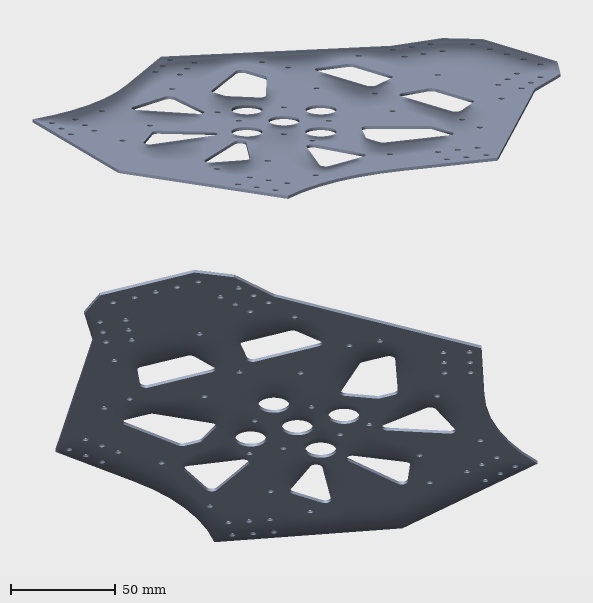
import cadquery as cq
import math

THICKNESS = 1.52
OVERALL_WIDTH = 228.8

NOSE_Y = 160.0
NOSE_HALF_WIDTH = 25.3
SHOULDER = (40.3, 147.2)
NECK = (48.7, 121.3)
SIDE_TIP = (OVERALL_WIDTH / 2, 30.7)
WAIST_START = (94.0, -12.5)
TAIL_CORNER = (86.8, -83.8)
TAIL_Y = -112.0
WAIST_RADIUS = 104.5

WINDOW_CORNER_RADIUS = 3.0
WINDOWS = {
    "front": [(12.8, 87.5), (42.2, 87.5), (50.0, 67.7), (8.0, 67.7)],
    "side": [(56.0, 44.0), (74.5, 44.0), (58.2, 8.2), (47.5, 8.2), (32.0, 19.9)],
    "rear_side": [(31.3, -18.0), (67.7, -9.5), (66.7, -40.8)],
    "rear": [(3.3, -30.0), (33.0, -55.5), (19.9, -77.3)],
}

CABLE_HOLE_DIAMETER = 15.0
CABLE_HOLE_SPACING = 25.0

SCREW_DIAMETER = 3.0
NOSE_SCREW_Y = 151.0
NOSE_SCREW_PITCH = 11.5
NOSE_SCREW_COUNT = 5
CENTRE_SCREW_OFFSET = 15.2
MIDLINE_SCREWS = [(0, 104.2), (0, 61.8)]
PAIRED_SCREWS = [
    (48.5, 99.0),
    (59.0, 61.8),
    (74.0, 59.0),
    (25.8, 48.0),
    (74.0, -2.0),
    (32.0, -12.8),
    (40.0, -51.0),
    (72.6, -51.0),
    (32.0, -77.3),
]

LEG_SCREW_COUNT = 3
LEG_SCREW_PITCH = 10.0
LEG_ROW_GAP = 12.5
LEG_MOUNTS = [
    ((37.3, 136.5), -71.5),
    ((107.5, 30.0), -115.0),
    ((76.0, -81.3), -162.0),
]


def mirrored(point):
    """Return the point reflected in the YZ plane."""
    x, y = point
    return (-x, y)


def on_both_sides(points):
    """Return the points together with their reflections."""
    return points + [mirrored(point) for point in points]


def make_plate():
    """Return the plate blank with its concave waist on both sides."""
    return (
        cq.Workplane("XY")
        .moveTo(-NOSE_HALF_WIDTH, NOSE_Y)
        .lineTo(NOSE_HALF_WIDTH, NOSE_Y)
        .lineTo(*SHOULDER)
        .lineTo(*NECK)
        .lineTo(*SIDE_TIP)
        .lineTo(*WAIST_START)
        .radiusArc(TAIL_CORNER, -WAIST_RADIUS)
        .lineTo(0, TAIL_Y)
        .lineTo(*mirrored(TAIL_CORNER))
        .radiusArc(mirrored(WAIST_START), -WAIST_RADIUS)
        .lineTo(*mirrored(SIDE_TIP))
        .lineTo(*mirrored(NECK))
        .lineTo(*mirrored(SHOULDER))
        .close()
        .extrude(THICKNESS)
    )


def make_window(corners):
    """Return the cutter for one window with rounded corners."""
    prism = cq.Workplane("XY").polyline(corners).close().extrude(THICKNESS)
    return prism.edges("|Z").fillet(WINDOW_CORNER_RADIUS)


def make_holes(centres, diameter):
    """Return the cutter for round through holes at the given centres."""
    return cq.Workplane("XY").pushPoints(centres).circle(diameter / 2).extrude(THICKNESS)


def leg_mount_screws(first_screw, direction):
    """Return the screw centres of one leg mount."""
    x, y = first_screw
    along_x = math.cos(math.radians(direction))
    along_y = math.sin(math.radians(direction))
    centres = []
    for index in range(LEG_SCREW_COUNT):
        along = index * LEG_SCREW_PITCH
        for inward in (0, LEG_ROW_GAP):
            centres.append((
                x + along * along_x + inward * along_y,
                y + along * along_y - inward * along_x,
            ))
    return centres


def cable_hole_centres():
    """Return the centres of the middle cable hole and the four around it."""
    spacing = CABLE_HOLE_SPACING
    return [(0, 0), (spacing, 0), (-spacing, 0), (0, spacing), (0, -spacing)]


def screw_centres():
    """Return the centres of all the screw holes."""
    middle_index = (NOSE_SCREW_COUNT - 1) / 2
    nose_row = [
        ((index - middle_index) * NOSE_SCREW_PITCH, NOSE_SCREW_Y)
        for index in range(NOSE_SCREW_COUNT)
    ]
    paired = list(PAIRED_SCREWS)
    for y in (CENTRE_SCREW_OFFSET, -CENTRE_SCREW_OFFSET):
        paired.append((CENTRE_SCREW_OFFSET, y))
    for first_screw, direction in LEG_MOUNTS:
        paired += leg_mount_screws(first_screw, direction)
    return nose_row + MIDLINE_SCREWS + on_both_sides(paired)


result = make_plate()

for corners in WINDOWS.values():
    window = make_window(corners)
    result = result.cut(window).cut(window.mirror("YZ"))

result = result.cut(make_holes(cable_hole_centres(), CABLE_HOLE_DIAMETER))
result = result.cut(make_holes(screw_centres(), SCREW_DIAMETER))